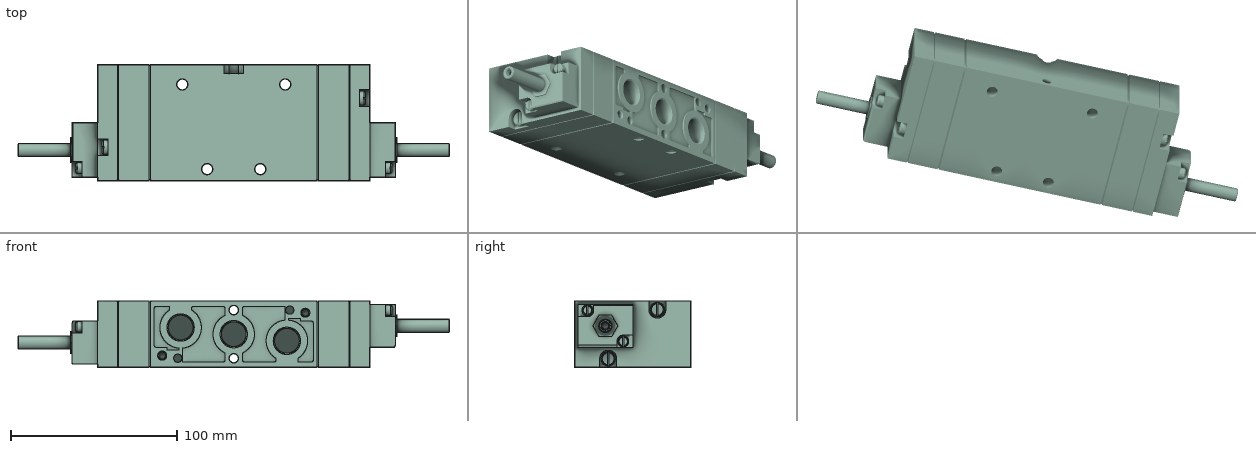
import cadquery as cq
import math

TOTAL_LENGTH = 260.0
WIDTH = 70.0
HEIGHT = 40.0

BODY_HALF = 50.0
GASKET = 1.0
SEAM_NEAR = 69.3
SEAM_FAR = 70.1
CAP_END = 82.0
COIL_END = 97.5
NUT_END = 98.3
RECESS = 0.5

MOUNT_D = 6.5
MOUNT_POINTS = [(-31.0, 23.0), (31.0, 23.0), (-16.0, -28.0), (16.0, -28.0)]

NOTCH_R = 6.0
NOTCH_DEPTH = 5.5

FACE_Y = -WIDTH / 2
PORT_D = 14.95
PORT_CHAMFER = 0.75
PORT_DEPTH = 22.0
SIDE_PORT_X = 32.0
SIDE_PORT_Z = -4.0
CROSS_D = 5.5
CROSS_Z = 14.5
PILOT_D = 4.13
PILOT_POINT = (43.1, 12.9)
PIN_D = 5.0
PIN_POINT = (33.7, 14.5)
SMALL_HOLE_DEPTH = 8.0
COUNTERSINK = 0.65

POCKET_DEPTH = 1.0
POCKET_HALF_X = 47.9
POCKET_HALF_Z = 16.8
POCKET_ROUND = 1.2
LAND_R = 12.5
CENTRE_LAND_HALF = 5.3
SIDE_LAND_HALF = 6.6
HOLE_WALL = 5.0
LAND_EDGE_NEAR = 30.9
LAND_EDGE_POCKET = 32.9
LAND_EDGE_STEP = 40.3

CAP_SCREW_OFFSET = 14.8
CAP_SCREW_WELL_R = 5.1
CAP_SCREW_WELL_DEPTH = 6.3
CAP_SCREW_HEAD_D = 8.57
CAP_SCREW_HEAD_H = 3.5

COIL_Y = -16.5
COIL_Z = -5.0
COIL_WIDTH = 33.0
COIL_HEIGHT = 26.0
COIL_TOP_CHAMFER = (0.8, 1.5)
COIL_BOTTOM_CHAMFER = (0.3, 0.8)
COIL_SCREW_DY = 10.8
COIL_SCREW_DZ = 9.4
COIL_SCREW_WELL_R = 3.8
COIL_SCREW_WELL_DEPTH = 6.0
COIL_SCREW_HEAD_D = 6.5
COIL_SCREW_HEAD_H = 3.7
HEAD_CHAMFER = 0.7
SLOT_WIDTH = 1.0
SLOT_DEPTH = 1.2
NUT_FLATS = 13.0
ROD_D = 8.0
ROD_CHAMFER = 0.5
ROD_BORE_D = 4.0
ROD_BORE_DEPTH = 10.0


def block(x0, x1, y0, y1, z0, z1):
    """Box between two corners."""
    return cq.Workplane("XY").box(x1 - x0, y1 - y0, z1 - z0, centered=False).translate((x0, y0, z0))


def x_cylinder(x, y, z, radius, length):
    """Cylinder starting at x and running toward +X."""
    return cq.Workplane("YZ", origin=(x, y, z)).circle(radius).extrude(length)


def y_cylinder(x, y, z, radius, length):
    """Cylinder starting at y and running toward +Y."""
    return cq.Workplane("XZ", origin=(x, y, z)).circle(radius).extrude(-length)


def turned(shape):
    """The shape turned half a turn about the Y axis."""
    return shape.rotate((0, 0, 0), (0, 1, 0), 180)


def with_turned(shape):
    """The shape together with its copy half a turn about the Y axis."""
    return shape.union(turned(shape))


def drill(radius, depth, origin, direction):
    """Countersunk round hole with a right-angled conical bottom."""
    hole = cq.Solid.makeCylinder(radius, depth, origin, direction)
    tip = cq.Solid.makeCone(radius, 0, radius, origin + direction * depth, direction)
    mouth = cq.Solid.makeCone(radius + COUNTERSINK, radius, COUNTERSINK, origin, direction)
    return cq.Workplane(hole.fuse(tip).fuse(mouth))


def housing():
    """Body, gaskets and end caps as one bar with recessed bands, plus the back notch."""
    bar = block(-CAP_END, CAP_END, -WIDTH / 2, WIDTH / 2, -HEIGHT / 2, HEIGHT / 2)
    core_y = WIDTH / 2 - RECESS
    core_z = HEIGHT / 2 - RECESS
    for near, far in ((BODY_HALF, BODY_HALF + GASKET), (SEAM_NEAR, SEAM_FAR)):
        band = block(near, far, -WIDTH, WIDTH, -HEIGHT, HEIGHT)
        band = band.cut(block(near, far, -core_y, core_y, -core_z, core_z))
        bar = bar.cut(with_turned(band))
    notch = y_cylinder(0, WIDTH / 2 - NOTCH_DEPTH, HEIGHT / 2, NOTCH_R, NOTCH_DEPTH)
    mounts = cq.Workplane("XY").pushPoints(MOUNT_POINTS).circle(MOUNT_D / 2).extrude(HEIGHT, both=True)
    return bar.cut(notch).cut(mounts)


def port(x, z):
    """Blind port bore with a chamfered mouth."""
    radius = PORT_D / 2
    inward = cq.Vector(0, 1, 0)
    mouth = cq.Solid.makeCone(
        radius + PORT_CHAMFER, radius, PORT_CHAMFER, cq.Vector(x, FACE_Y, z), inward
    )
    return y_cylinder(x, FACE_Y, z, radius, PORT_DEPTH).union(cq.Workplane(mouth))


def face_pockets():
    """Shallow pockets that fill the port face except for the lands around its holes."""
    y0 = FACE_Y
    y1 = FACE_Y + POCKET_DEPTH
    half_z = POCKET_HALF_Z
    pockets = block(-POCKET_HALF_X, POCKET_HALF_X, y0, y1, -half_z, half_z)

    land = y_cylinder(SIDE_PORT_X, y0, SIDE_PORT_Z, LAND_R, POCKET_DEPTH)
    strip_x0 = SIDE_PORT_X - SIDE_LAND_HALF
    strip_x1 = SIDE_PORT_X + SIDE_LAND_HALF
    land = land.union(block(strip_x0, strip_x1, y0, y1, -half_z, SIDE_PORT_Z))
    pin_floor = PIN_POINT[1] - HOLE_WALL
    pilot_floor = PILOT_POINT[1] - HOLE_WALL
    land = land.union(block(LAND_EDGE_NEAR, POCKET_HALF_X, y0, y1, pin_floor, half_z))
    land = land.union(block(LAND_EDGE_STEP, POCKET_HALF_X, y0, y1, pilot_floor, half_z))
    land = land.union(block(LAND_EDGE_NEAR, LAND_EDGE_POCKET, y0, y1, SIDE_PORT_Z, half_z))
    centre = y_cylinder(0, y0, 0, LAND_R, POCKET_DEPTH)
    centre = centre.union(block(-CENTRE_LAND_HALF, CENTRE_LAND_HALF, y0, y1, -half_z, half_z))
    pockets = pockets.cut(with_turned(land)).cut(centre)

    corners = [
        (CENTRE_LAND_HALF, half_z),
        (CENTRE_LAND_HALF, -half_z),
        (strip_x0, -half_z),
        (POCKET_HALF_X, -half_z),
        (POCKET_HALF_X, pilot_floor),
    ]
    for x, z in corners:
        for sign in (1, -1):
            corner = cq.selectors.NearestToPointSelector((sign * x, (y0 + y1) / 2, sign * z))
            pockets = pockets.edges("|Y").edges(corner).fillet(POCKET_ROUND)
    return pockets


def face_holes():
    """Everything cut into the port face."""
    cuts = face_pockets().union(port(0, 0))
    cuts = cuts.union(with_turned(port(SIDE_PORT_X, SIDE_PORT_Z)))
    cuts = cuts.union(with_turned(y_cylinder(0, FACE_Y, CROSS_Z, CROSS_D / 2, WIDTH)))
    pilot_start = cq.Vector(PILOT_POINT[0], FACE_Y, PILOT_POINT[1])
    pilot = drill(PILOT_D / 2, SMALL_HOLE_DEPTH, pilot_start, cq.Vector(0, 1, 0))
    pin = y_cylinder(PIN_POINT[0], FACE_Y, PIN_POINT[1], PIN_D / 2, SMALL_HOLE_DEPTH)
    return cuts.union(with_turned(pilot)).union(with_turned(pin))


def screw_head(floor_x, y, z, diameter, height):
    """Slotted screw head standing on a well floor and facing -X."""
    top_x = floor_x - height
    head = x_cylinder(top_x, y, z, diameter / 2, height).faces("<X").chamfer(HEAD_CHAMFER)
    half_slot = SLOT_WIDTH / 2
    slot = block(top_x, top_x + SLOT_DEPTH, y - half_slot, y + half_slot, z - diameter, z + diameter)
    return head.cut(slot)


def cap_screws(part):
    """Two sunk screws in the -X end cap, their wells open to the top or the bottom."""
    floor_x = CAP_SCREW_WELL_DEPTH - CAP_END
    for sign in (1, -1):
        y = -sign * CAP_SCREW_OFFSET
        z = sign * CAP_SCREW_OFFSET
        well = x_cylinder(-CAP_END, y, z, CAP_SCREW_WELL_R, CAP_SCREW_WELL_DEPTH)
        low, high = sorted((z, sign * HEIGHT / 2))
        well = well.union(
            block(-CAP_END, floor_x, y - CAP_SCREW_WELL_R, y + CAP_SCREW_WELL_R, low, high)
        )
        part = part.cut(well)
        part = part.union(screw_head(floor_x, y, z, CAP_SCREW_HEAD_D, CAP_SCREW_HEAD_H))
    return part


def coil_screw(coil, side_y, side_z):
    """Sunk screw in one corner of the coil block, its well open to both sides of the corner."""
    floor_x = COIL_SCREW_WELL_DEPTH - COIL_END
    y = COIL_Y + side_y * COIL_SCREW_DY
    z = COIL_Z + side_z * COIL_SCREW_DZ
    edge_y = COIL_Y + side_y * COIL_WIDTH / 2
    edge_z = COIL_Z + side_z * COIL_HEIGHT / 2
    inner_y = y - side_y * COIL_SCREW_WELL_R
    inner_z = z - side_z * COIL_SCREW_WELL_R
    well = x_cylinder(-COIL_END, y, z, COIL_SCREW_WELL_R, COIL_SCREW_WELL_DEPTH)
    for from_y, from_z in ((y, inner_z), (inner_y, z)):
        y0, y1 = sorted((from_y, edge_y))
        z0, z1 = sorted((from_z, edge_z))
        well = well.union(block(-COIL_END, floor_x, y0, y1, z0, z1))
    return coil.cut(well).union(screw_head(floor_x, y, z, COIL_SCREW_HEAD_D, COIL_SCREW_HEAD_H))


def solenoid(diagonal):
    """Solenoid for the -X end; diagonal (1 or -1) picks the two corners that hold screws."""
    half_y = COIL_WIDTH / 2
    top = COIL_Z + COIL_HEIGHT / 2
    bottom = COIL_Z - COIL_HEIGHT / 2
    top_chamfer_x, top_chamfer_z = COIL_TOP_CHAMFER
    bottom_chamfer_x, bottom_chamfer_z = COIL_BOTTOM_CHAMFER
    profile = [
        (-CAP_END, bottom),
        (bottom_chamfer_x - COIL_END, bottom),
        (-COIL_END, bottom + bottom_chamfer_z),
        (-COIL_END, top - top_chamfer_z),
        (top_chamfer_x - COIL_END, top),
        (-CAP_END, top),
    ]
    coil = cq.Workplane("XZ", origin=(0, COIL_Y, 0)).polyline(profile).close().extrude(half_y, both=True)
    for side in (1, -1):
        coil = coil_screw(coil, -side * diagonal, side)

    nut_diameter = NUT_FLATS / math.cos(math.pi / 6)
    nut_plane = cq.Workplane("YZ", origin=(-NUT_END, COIL_Y, COIL_Z))
    nut = nut_plane.polygon(6, nut_diameter).extrude(NUT_END - COIL_END)
    rod_end = -TOTAL_LENGTH / 2
    rod = x_cylinder(rod_end, COIL_Y, COIL_Z, ROD_D / 2, -COIL_END - rod_end)
    rod = rod.faces("<X").chamfer(ROD_CHAMFER)
    bore = drill(ROD_BORE_D / 2, ROD_BORE_DEPTH, cq.Vector(rod_end, COIL_Y, COIL_Z), cq.Vector(1, 0, 0))
    return coil.union(nut).union(rod).cut(bore)


part = housing().cut(face_holes())
part = turned(cap_screws(turned(cap_screws(part))))
result = part.union(solenoid(1)).union(turned(solenoid(-1)))